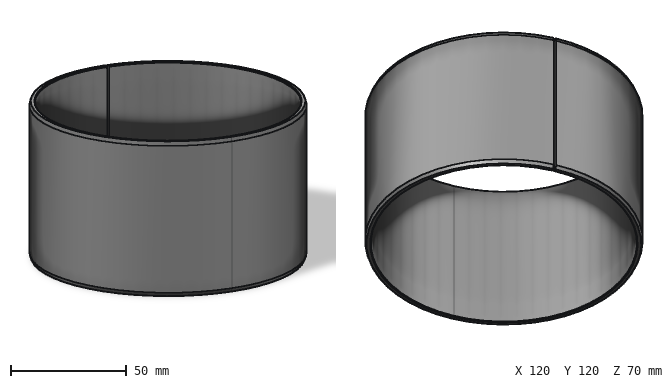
import cadquery as cq

outer_diameter = 120.0
wall = 2.5
length = 70.0
slit_width = 1.1
outer_chamfer_height = 1.8
outer_chamfer_depth = 0.66
inner_chamfer = 0.4

outer_radius = outer_diameter / 2
inner_radius = outer_radius - wall
half_length = length / 2

wall_section = [
    (inner_radius, -half_length + inner_chamfer),
    (inner_radius + inner_chamfer, -half_length),
    (outer_radius - outer_chamfer_depth, -half_length),
    (outer_radius, -half_length + outer_chamfer_height),
    (outer_radius, half_length - outer_chamfer_height),
    (outer_radius - outer_chamfer_depth, half_length),
    (inner_radius + inner_chamfer, half_length),
    (inner_radius, half_length - inner_chamfer),
]
sleeve = cq.Workplane("XZ").polyline(wall_section).close().revolve(360, (0, 0, 0), (0, 1, 0))

slit = cq.Workplane("XY").box(outer_radius, slit_width, length).translate((-outer_radius, slit_width / 2, 0))

result = sleeve.cut(slit)